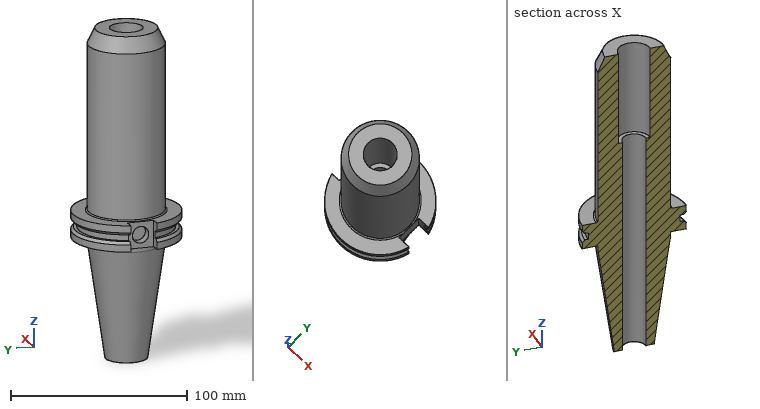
import cadquery as cq

total_height = 195.2
taper_height = 68.5
flange_bottom = 71.7
flange_height = 15.6
flange_top = flange_bottom + flange_height
flange_middle = flange_bottom + flange_height / 2

taper_ratio = 7 / 24
body_radius = 22.3
taper_end_radius = body_radius - taper_height * taper_ratio / 2
nose_radius = 18.0
nose_height = 9.0
root_width = 1.0
root_height = 0.5

flange_radius = 31.6
groove_radius = 28.1
groove_chamfer_radius = 30.0
groove_floor_width = 4.0
groove_mouth_width = 7.2

slot_width = 15.8
deep_slot_distance = 22.8
shallow_slot_distance = 24.8
dimple_diameter = 9.8
dimple_depth = 5.9

tool_bore_diameter = 19.1
tool_bore_depth = 58.5
through_bore_diameter = 14.0


def turned_body():
    """Revolve the taper, flange, groove, body and nose about Z."""
    half_floor = groove_floor_width / 2
    half_mouth = groove_mouth_width / 2
    profile = [
        (0, 0),
        (taper_end_radius, 0),
        (body_radius, taper_height),
        (body_radius, flange_bottom),
        (flange_radius, flange_bottom),
        (flange_radius, flange_middle - half_mouth),
        (groove_chamfer_radius, flange_middle - half_floor),
        (groove_radius, flange_middle - half_floor),
        (groove_radius, flange_middle + half_floor),
        (groove_chamfer_radius, flange_middle + half_floor),
        (flange_radius, flange_middle + half_mouth),
        (flange_radius, flange_top),
        (body_radius + root_width, flange_top),
        (body_radius, flange_top + root_height),
        (body_radius, total_height - nose_height),
        (nose_radius, total_height),
        (0, total_height),
    ]
    return cq.Workplane("XZ").polyline(profile).close().revolve(360, (0, 0), (0, 1))


def drive_slot(side, distance):
    """Block beyond the slot floor; side is +1 or -1 along X."""
    height = flange_height + root_height
    block = cq.Workplane("XY").box(flange_radius, slot_width, height, centered=(True, True, False))
    return block.translate((side * (distance + flange_radius / 2), 0, flange_bottom))


def slot_dimple():
    """Blind round hole in the floor of the shallow slot."""
    floor = cq.Workplane("YZ", origin=(-shallow_slot_distance, 0, flange_middle))
    return floor.circle(dimple_diameter / 2).extrude(dimple_depth)


def axial_bores():
    """Tool bore from the nose, continued by a narrower through bore."""
    through = cq.Workplane("XY").circle(through_bore_diameter / 2).extrude(total_height)
    nose_face = cq.Workplane("XY", origin=(0, 0, total_height))
    tool = nose_face.circle(tool_bore_diameter / 2).extrude(-tool_bore_depth)
    return through.union(tool)


result = (
    turned_body()
    .cut(drive_slot(1, deep_slot_distance))
    .cut(drive_slot(-1, shallow_slot_distance))
    .cut(slot_dimple())
    .cut(axial_bores())
)